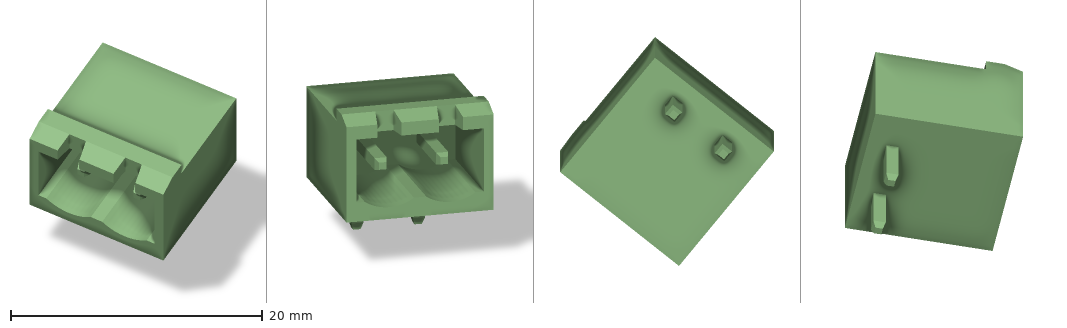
import cadquery as cq


pitch = 5.08
pin_count = 2
end_margin = 3.54
width = (pin_count - 1) * pitch + 2 * end_margin
depth = 12.0
height = 8.6
rim_height = 1.0
rim_depth = 3.0
rim_chamfer_depth = 1.5
rim_chamfer_drop = 0.6

side_wall = 0.82
cavity_floor = 1.6
cavity_top = 6.9
cavity_depth = 8.5
groove_width = 4.05
groove_sag = 0.62

notch_mouth_width = 2.0
notch_back_width = 1.5
notch_depth = rim_chamfer_depth

pin_size = 1.0
pin_tip_size = 0.6
pin_taper = 0.6
pin_tip_y = 2.0
contact_z = 3.8
solder_leg_y = 10.0
solder_length = 4.0

pin_positions = [(i - (pin_count - 1) / 2) * pitch for i in range(pin_count)]


def make_housing():
    """Side profile with its raised, chamfered rim, extruded across the width."""
    profile = [
        (0, 0),
        (depth, 0),
        (depth, height - rim_height),
        (rim_depth, height - rim_height),
        (rim_depth, height),
        (rim_chamfer_depth, height),
        (0, height - rim_chamfer_drop),
    ]
    return cq.Workplane("YZ").polyline(profile).close().extrude(width / 2, both=True)


def make_cavity():
    """Rectangular plug space whose floor has one round groove under each pin."""
    half_width = width / 2 - side_wall
    outline = cq.Workplane("XZ").moveTo(-half_width, cavity_top).lineTo(-half_width, cavity_floor)
    for x in pin_positions:
        outline = outline.lineTo(x - groove_width / 2, cavity_floor)
        outline = outline.threePointArc(
            (x, cavity_floor - groove_sag), (x + groove_width / 2, cavity_floor)
        )
    outline = outline.lineTo(half_width, cavity_floor).lineTo(half_width, cavity_top).close()
    return outline.extrude(-cavity_depth)


def make_notch(x):
    """Notch narrowing away from the mouth, from the cavity up through the rim."""
    outline = [
        (x - notch_mouth_width / 2, 0),
        (x + notch_mouth_width / 2, 0),
        (x + notch_back_width / 2, notch_depth),
        (x - notch_back_width / 2, notch_depth),
    ]
    notch = cq.Workplane("XY").workplane(offset=cavity_top).polyline(outline).close()
    return notch.extrude(height - cavity_top)


def make_leg(start, direction, length):
    """Square bar of the given length that ends in a tapered tip."""
    plane = cq.Plane(origin=start, xDir=(1, 0, 0), normal=direction)
    bar = cq.Workplane(plane).rect(pin_size, pin_size).extrude(length - pin_taper)
    tip = (
        cq.Workplane(plane)
        .workplane(offset=length - pin_taper)
        .rect(pin_size, pin_size)
        .workplane(offset=pin_taper)
        .rect(pin_tip_size, pin_tip_size)
        .loft(ruled=True)
    )
    return bar.union(tip)


def make_pin(x):
    """Right-angle pin: contact leg toward the mouth, solder leg downward."""
    bend = (x, solder_leg_y, contact_z)
    contact_leg = make_leg(bend, (0, -1, 0), solder_leg_y - pin_tip_y)
    solder_leg = make_leg(bend, (0, 0, -1), contact_z + solder_length)
    return contact_leg.union(solder_leg)


result = make_housing().cut(make_cavity())
for pin_x in pin_positions:
    result = result.cut(make_notch(pin_x)).union(make_pin(pin_x))